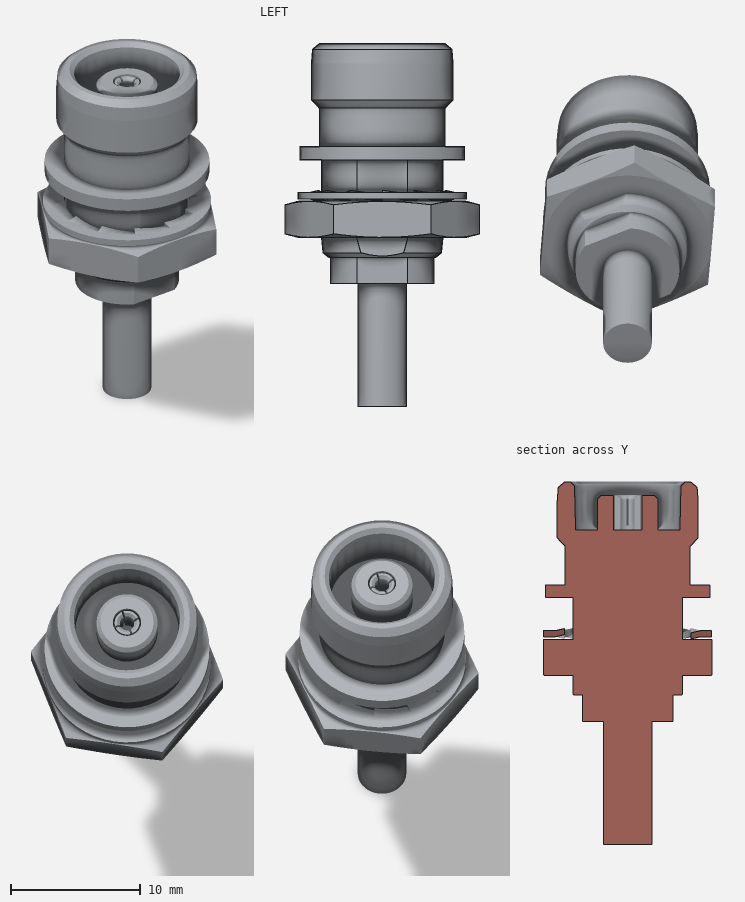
import cadquery as cq
import math


TOTAL_HEIGHT = 28.0
FERRULE_TOP = 9.5
THREAD_BOTTOM = 11.5
THREAD_CHAMFER_TOP = 11.87
THREAD_TAPER_START = 12.9
NUT_BOTTOM = 13.05
NUT_TOP = 15.85
FLANGE_BOTTOM = 19.05
FLANGE_TOP = 20.05
HEAD_BOTTOM = 23.02
HEAD_SHOULDER = 23.65
HEAD_TAPER_START = 26.45
SOCKET_FLOOR = 24.28

CABLE_RADIUS = 1.88
COLLAR_RADIUS = 4.0
THREAD_END_RADIUS = 4.12
THREAD_TAPER_RADIUS = 4.55
THREAD_RADIUS = 4.68
FLANGE_RADIUS = 6.35
NECK_RADIUS = 4.85
HEAD_RADIUS = 5.45
HEAD_TAPER_RADIUS = 5.38
HEAD_CHAMFER_HEIGHT = 0.45

THREAD_FLAT_DISTANCE = 4.25
COLLAR_FLAT_DISTANCE = 3.5

NUT_ACROSS_FLATS = 13.0
NUT_FACE_RADIUS = 6.45
NUT_CORNER_DROP = 0.28

SOCKET_FLOOR_RADIUS = 4.0
SOCKET_MOUTH_RADIUS = 4.1
SOCKET_CHAMFER = 0.35

INSULATOR_RADIUS = 2.35
INSULATOR_TOP = 26.95
INSULATOR_CHAMFER = 0.3
CONTACT_CLEARANCE_RADIUS = 1.1
CONTACT_RADIUS = 0.95
CONTACT_BORE_RADIUS = 0.55
CONTACT_TOP = 26.88
CONTACT_COUNTERSINK = 0.22
CONTACT_SLOT_WIDTH = 0.17

WASHER_RADIUS = NUT_ACROSS_FLATS / 2
WASHER_THICKNESS = 0.5
WASHER_GAP = 0.17
TOOTH_ROOT_RADIUS = 5.6
TOOTH_TIP_RADIUS = 4.87
TOOTH_COUNT = 12
TOOTH_TWIST = WASHER_GAP
WASHER_BOTTOM = NUT_TOP + WASHER_GAP


def cylinder(radius, bottom, top):
    return cq.Workplane("XY").workplane(offset=bottom).circle(radius).extrude(top - bottom)


def revolve_profile(points):
    """Turn a closed (radius, height) outline about the Z axis."""
    return cq.Workplane("XZ").polyline(points).close().revolve(360, (0, 0, 0), (0, 1, 0))


def between_flats(body, flat_distance, bottom, top):
    """Keep the part of a turned body that lies between two flats facing -X and +X."""
    slab = (
        cq.Workplane("XY")
        .workplane(offset=bottom)
        .rect(2 * flat_distance, TOTAL_HEIGHT)
        .extrude(top - bottom)
    )
    return body.intersect(slab)


def make_threaded_barrel():
    barrel = revolve_profile([
        (0, THREAD_BOTTOM),
        (THREAD_END_RADIUS, THREAD_BOTTOM),
        (THREAD_TAPER_RADIUS, THREAD_CHAMFER_TOP),
        (THREAD_RADIUS, THREAD_TAPER_START),
        (THREAD_RADIUS, FLANGE_BOTTOM),
        (0, FLANGE_BOTTOM),
    ])
    return between_flats(barrel, THREAD_FLAT_DISTANCE, THREAD_BOTTOM, FLANGE_BOTTOM)


def make_collar():
    collar = cylinder(COLLAR_RADIUS, FERRULE_TOP, THREAD_BOTTOM)
    return between_flats(collar, COLLAR_FLAT_DISTANCE, FERRULE_TOP, THREAD_BOTTOM)


def make_head():
    """Flange, neck and head above the thread, still without the socket."""
    return revolve_profile([
        (0, FLANGE_BOTTOM),
        (FLANGE_RADIUS, FLANGE_BOTTOM),
        (FLANGE_RADIUS, FLANGE_TOP),
        (NECK_RADIUS, FLANGE_TOP),
        (NECK_RADIUS, HEAD_BOTTOM),
        (HEAD_RADIUS, HEAD_SHOULDER),
        (HEAD_RADIUS, HEAD_TAPER_START),
        (HEAD_TAPER_RADIUS, TOTAL_HEIGHT - HEAD_CHAMFER_HEIGHT),
        (NECK_RADIUS, TOTAL_HEIGHT),
        (0, TOTAL_HEIGHT),
    ])


def make_socket():
    """Space inside the head: a slightly tapered bore with a chamfered mouth."""
    return revolve_profile([
        (0, SOCKET_FLOOR),
        (SOCKET_FLOOR_RADIUS, SOCKET_FLOOR),
        (SOCKET_MOUTH_RADIUS, TOTAL_HEIGHT - SOCKET_CHAMFER),
        (SOCKET_MOUTH_RADIUS + SOCKET_CHAMFER, TOTAL_HEIGHT),
        (0, TOTAL_HEIGHT),
    ])


def make_insulator():
    boss = cylinder(INSULATOR_RADIUS, SOCKET_FLOOR, INSULATOR_TOP)
    boss = boss.faces(">Z").edges().chamfer(INSULATOR_CHAMFER)
    return boss.cut(cylinder(CONTACT_CLEARANCE_RADIUS, SOCKET_FLOOR, INSULATOR_TOP))


def make_contact():
    """Sleeve with a countersunk mouth, split into four fingers by crossing slots."""
    sleeve = cylinder(CONTACT_RADIUS, SOCKET_FLOOR, CONTACT_TOP)
    sleeve = sleeve.cut(cylinder(CONTACT_BORE_RADIUS, SOCKET_FLOOR, CONTACT_TOP))
    mouth_edge = sleeve.faces(">Z").edges(cq.selectors.RadiusNthSelector(0))
    sleeve = mouth_edge.chamfer(CONTACT_COUNTERSINK)
    slot = (
        cq.Workplane("XY")
        .workplane(offset=SOCKET_FLOOR)
        .rect(2 * CONTACT_RADIUS, CONTACT_SLOT_WIDTH)
        .extrude(CONTACT_TOP - SOCKET_FLOOR)
    )
    for angle in (0, 90):
        sleeve = sleeve.cut(slot.rotate((0, 0, 0), (0, 0, 1), angle))
    return sleeve


def make_nut():
    """Hexagon with corners on the Y axis, chamfered conically on both faces."""
    corner_radius = NUT_ACROSS_FLATS / math.sqrt(3)
    hexagon = (
        cq.Workplane("XY")
        .workplane(offset=NUT_BOTTOM)
        .polygon(6, 2 * corner_radius)
        .extrude(NUT_TOP - NUT_BOTTOM)
        .rotate((0, 0, 0), (0, 0, 1), 90)
    )
    chamfer_envelope = revolve_profile([
        (0, NUT_BOTTOM),
        (NUT_FACE_RADIUS, NUT_BOTTOM),
        (corner_radius, NUT_BOTTOM + NUT_CORNER_DROP),
        (corner_radius, NUT_TOP - NUT_CORNER_DROP),
        (NUT_FACE_RADIUS, NUT_TOP),
        (0, NUT_TOP),
    ])
    return hexagon.intersect(chamfer_envelope)


def make_jack():
    head = make_head().cut(make_socket())
    jack = head.union(make_threaded_barrel()).union(make_collar())
    jack = jack.union(cylinder(CABLE_RADIUS, 0, FERRULE_TOP))
    jack = jack.union(make_nut())
    return jack.union(make_insulator()).union(make_contact())


def make_tooth():
    """Twisted tooth from angle 0: flat at its root, high at its first tip corner and low at its last."""
    span = math.radians(360 / TOOTH_COUNT)

    def arc(radius, base, twist):
        """Arc over the tooth's span that starts above the base level and ends below it."""
        points = [
            cq.Vector(
                radius * math.cos(part * span),
                radius * math.sin(part * span),
                base + twist * (1 - 2 * part),
            )
            for part in (0, 0.5, 1)
        ]
        return cq.Edge.makeThreePointArc(*points)

    washer_top = WASHER_BOTTOM + WASHER_THICKNESS
    edges = [
        arc(TOOTH_ROOT_RADIUS, WASHER_BOTTOM, 0),
        arc(TOOTH_TIP_RADIUS, WASHER_BOTTOM, TOOTH_TWIST),
        arc(TOOTH_TIP_RADIUS, washer_top, TOOTH_TWIST),
        arc(TOOTH_ROOT_RADIUS, washer_top, 0),
    ]
    long_faces = [cq.Face.makeRuledSurface(edges[i - 1], edges[i]) for i in range(4)]
    end_faces = [
        cq.Face.makeFromWires(cq.Wire.makePolygon([edge.positionAt(end) for edge in edges], close=True))
        for end in (0, 1)
    ]
    return cq.Solid.makeSolid(cq.Shell.makeShell(long_faces + end_faces))


def make_lock_washer():
    washer = (
        cq.Workplane("XY")
        .workplane(offset=WASHER_BOTTOM)
        .circle(WASHER_RADIUS)
        .circle(TOOTH_ROOT_RADIUS)
        .extrude(WASHER_THICKNESS)
    )
    tooth = cq.Workplane(obj=make_tooth())
    for i in range(TOOTH_COUNT):
        washer = washer.union(tooth.rotate((0, 0, 0), (0, 0, 1), i * 360 / TOOTH_COUNT))
    return washer


jack = make_jack()
lock_washer = make_lock_washer()

result = cq.Compound.makeCompound([jack.val(), lock_washer.val()])